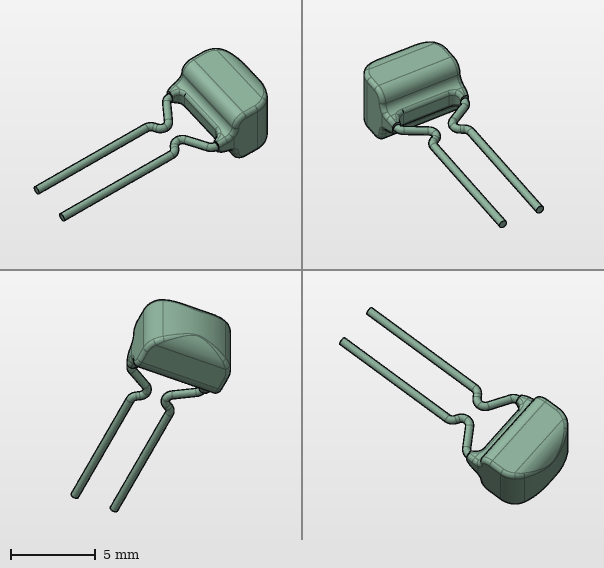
import cadquery as cq
import math


overall_length = 15.0
case_width = 5.5
case_thickness = 4.0
case_height = 4.45

lead_diameter = 0.5
foot_spacing = 4.6
waist_spacing = 1.26
lead_pitch = 2.54
upper_bend_radius = 0.5
lower_bend_radius = 0.48
bend_angle = math.radians(58)

crown_corner_radius = 1.4
crown_corner_start = 2.72
flank_taper_start = 0.99
foot_ledge = 0.06

back_radius = 1.1
back_overshoot = 0.03
shoulder_bottom = 1.05
shoulder_radius = 0.81
neck_radius = 0.58
neck_angle = math.radians(84)
foot_round_radius = 1.05

edge_radius = 0.28
recess_depth = 0.5
recess_edge_radius = 0.27

half_width = case_width / 2
half_thickness = case_thickness / 2
lead_radius = lead_diameter / 2
foot_x = foot_spacing / 2
foot_outer_x = foot_x + lead_radius + foot_ledge
foot_inner_x = foot_x - lead_radius
tolerance = 0.0002


def arc_point(center, radius, angle):
    """Point on a circle, at an angle from the first axis of its plane."""
    return (center[0] + radius * math.cos(angle), center[1] + radius * math.sin(angle))


def mirrored(point):
    """The same point on the other side of the second axis of its plane."""
    return (-point[0], point[1])


def outline_prism():
    """Case outline: domed crown, straight flanks, and a taper to the feet, extruded through Z."""
    corner = (half_width - crown_corner_radius, crown_corner_start)
    rise = case_height - crown_corner_start
    crown_radius = (corner[0] ** 2 + rise**2 - crown_corner_radius**2) / (2 * (rise - crown_corner_radius))
    crown_center_y = case_height - crown_radius
    corner_angle = math.atan2(crown_corner_start - crown_center_y, corner[0])
    corner_middle = arc_point(corner, crown_corner_radius, corner_angle / 2)
    corner_end = arc_point(corner, crown_corner_radius, corner_angle)
    flank_top = (half_width, crown_corner_start)

    inset = half_width - foot_outer_x
    taper_radius = (inset**2 + flank_taper_start**2) / (2 * inset)
    taper_center = (half_width - taper_radius, flank_taper_start)
    taper_middle = arc_point(taper_center, taper_radius, -math.asin(flank_taper_start / taper_radius) / 2)
    flank_bottom = (half_width, flank_taper_start)
    foot_corner = (foot_outer_x, 0)

    return (
        cq.Workplane("XY")
        .workplane(offset=-half_thickness)
        .moveTo(*mirrored(foot_corner))
        .lineTo(*foot_corner)
        .threePointArc(taper_middle, flank_bottom)
        .lineTo(*flank_top)
        .threePointArc(corner_middle, corner_end)
        .threePointArc((0, case_height), mirrored(corner_end))
        .threePointArc(mirrored(corner_middle), mirrored(flank_top))
        .lineTo(*mirrored(flank_bottom))
        .threePointArc(mirrored(taper_middle), mirrored(foot_corner))
        .close()
        .extrude(case_thickness)
    )


def profile_prism():
    """Case profile: rounded back and shoulders, necking down to the feet, extruded across X."""
    back_y = case_height + back_overshoot
    back = (back_y - back_radius, half_thickness - back_radius)
    back_middle = arc_point(back, back_radius, math.pi / 4)

    shoulder = (shoulder_bottom + shoulder_radius, half_thickness - shoulder_radius)
    shoulder_middle = arc_point(shoulder, shoulder_radius, 3 * math.pi / 4)

    neck = (shoulder_bottom - neck_radius, shoulder[1])
    neck_middle = arc_point(neck, neck_radius, -neck_angle / 2)
    neck_end = arc_point(neck, neck_radius, -neck_angle)

    start_angle = math.pi - neck_angle
    foot_round = arc_point(neck_end, -foot_round_radius, start_angle)
    end_angle = math.acos(-foot_round[0] / foot_round_radius)
    foot_middle = arc_point(foot_round, foot_round_radius, (start_angle + end_angle) / 2)
    foot_end = arc_point(foot_round, foot_round_radius, end_angle)

    upper_half = (
        cq.Workplane("YZ")
        .workplane(offset=-half_width)
        .moveTo(0, 0)
        .lineTo(*foot_end)
        .threePointArc(foot_middle, neck_end)
        .threePointArc(neck_middle, (shoulder_bottom, shoulder[1]))
        .threePointArc(shoulder_middle, (shoulder[0], half_thickness))
        .lineTo(back[0], half_thickness)
        .threePointArc(back_middle, (back_y, back[1]))
        .lineTo(back_y, 0)
        .close()
        .extrude(case_width)
    )
    return upper_half.union(upper_half.mirror("XY")).clean()


def recess_cutter():
    """Opening between the feet, cut right through Z, with round inner corners."""
    floor_x = foot_inner_x - recess_depth
    corner_middle = arc_point((floor_x, 0), recess_depth, math.pi / 4)
    return (
        cq.Workplane("XY")
        .workplane(offset=-half_thickness)
        .moveTo(-foot_inner_x, 0)
        .lineTo(foot_inner_x, 0)
        .threePointArc(corner_middle, (floor_x, recess_depth))
        .lineTo(-floor_x, recess_depth)
        .threePointArc(mirrored(corner_middle), (-foot_inner_x, 0))
        .close()
        .extrude(case_thickness)
    )


def is_rim_edge(edge):
    """True for the edges between the profile surfaces and the outline surfaces."""
    start = edge.startPoint()
    end = edge.endPoint()
    on_foot_end = max(start.y, end.y) < tolerance
    crosses_z = abs(start.z + end.z) < tolerance
    crosses_x = edge.geomType() == "LINE" and abs(start.x + end.x) < tolerance
    return not (on_foot_end or crosses_z or crosses_x)


def is_recess_edge(edge):
    """True for the rim of the recess on the two sloping sides of the case."""
    start = edge.startPoint()
    end = edge.endPoint()
    in_recess = abs(edge.positionAt(0.5).x) < foot_inner_x and max(start.y, end.y) < recess_depth + tolerance
    on_foot_end = max(start.y, end.y) < tolerance
    crosses_z = abs(start.z + end.z) < tolerance
    return in_recess and not (on_foot_end or crosses_z)


def build_case():
    block = outline_prism().intersect(profile_prism())
    rim = [edge for edge in block.edges().vals() if is_rim_edge(edge)]
    rounded = block.newObject(rim).fillet(edge_radius)

    footed = rounded.cut(recess_cutter())
    recess_rim = [edge for edge in footed.edges().vals() if is_recess_edge(edge)]
    return footed.newObject(recess_rim).fillet(recess_edge_radius)


def add_jog(path, start, end_x, radius):
    """Add two equal, opposite bends with a straight between them; both ends run along -Y."""
    side = math.copysign(1, end_x - start[0])
    bend_x = radius * (1 - math.cos(bend_angle))
    bend_y = radius * math.sin(bend_angle)
    half_bend_x = radius * (1 - math.cos(bend_angle / 2))
    half_bend_y = radius * math.sin(bend_angle / 2)
    straight_y = (abs(end_x - start[0]) - 2 * bend_x) / math.tan(bend_angle)
    end = (end_x, start[1] - 2 * bend_y - straight_y)
    path = (
        path.threePointArc(
            (start[0] + side * half_bend_x, start[1] - half_bend_y),
            (start[0] + side * bend_x, start[1] - bend_y),
        )
        .lineTo(end[0] - side * bend_x, end[1] + bend_y)
        .threePointArc((end[0] - side * half_bend_x, end[1] + half_bend_y), end)
    )
    return path, end


def build_lead(side):
    """One wire: from its foot in to the waist, back out to the lead pitch, then straight down."""
    start = (side * foot_x, 0)
    path = cq.Workplane("XY").moveTo(*start)
    path, waist = add_jog(path, start, side * waist_spacing / 2, upper_bend_radius)
    path, straight_start = add_jog(path, waist, side * lead_pitch / 2, lower_bend_radius)
    path = path.lineTo(straight_start[0], case_height - overall_length)
    return cq.Workplane("XZ").center(*start).circle(lead_radius).sweep(path)


case = build_case()
leads = [build_lead(side) for side in (-1, 1)]

result = cq.Compound.makeCompound([case.val(), *[lead.val() for lead in leads]])